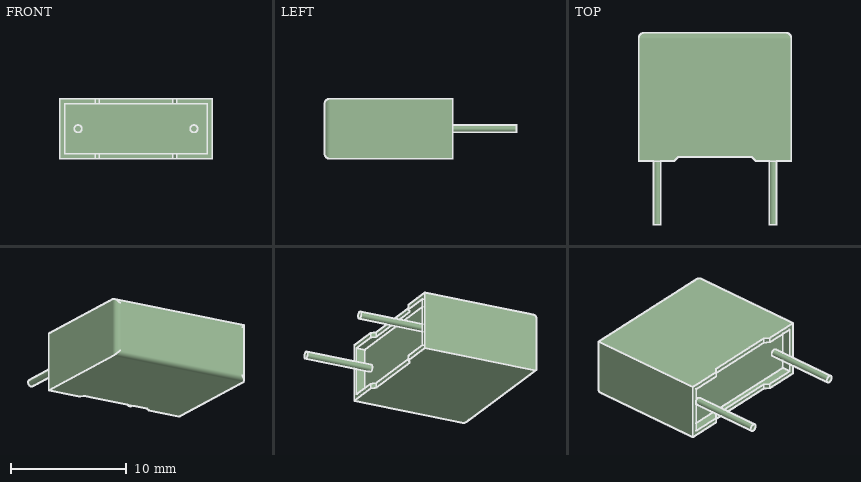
import cadquery as cq


case_width = 13.2
case_height = 5.21
wall = 0.45
back_round = 0.51

total_length = 16.6
lead_length = 5.51
lead_diameter = 0.65
lead_pitch = 10.0

case_depth = total_length - lead_length

fill_recess = 0.8
cavity_width = case_width - 2 * wall
cavity_height = case_height - 2 * wall
cavity_depth = case_depth - wall

relief_depth = 0.35
relief_mouth_width = 7.0
relief_floor_width = relief_mouth_width - 2 * relief_depth


def block(width, height, y_start, y_end):
    """Box centred on the Y axis, running from y_start to y_end."""
    return (
        cq.Workplane("XY")
        .box(width, y_end - y_start, height, centered=(True, False, True))
        .translate((0, y_start, 0))
    )


def make_rim_relief():
    """Trapezoid prism that cuts through both broad walls."""
    return (
        cq.Workplane("XY")
        .polyline([
            (-relief_mouth_width / 2, 0),
            (-relief_floor_width / 2, relief_depth),
            (relief_floor_width / 2, relief_depth),
            (relief_mouth_width / 2, 0),
        ])
        .close()
        .extrude(case_height / 2, both=True)
    )


def make_case():
    """Open shell with rounded back edges and a relieved rim."""
    shell = block(case_width, case_height, 0, case_depth)
    shell = shell.faces(">Y").edges().fillet(back_round)
    cavity = block(cavity_width, cavity_height, 0, cavity_depth)
    return shell.cut(cavity).cut(make_rim_relief())


def make_resin_fill():
    """Resin block filling the cavity up to the recessed face."""
    return block(cavity_width, cavity_height, fill_recess, cavity_depth)


def make_lead(x):
    """Round lead standing on the resin face and pointing toward -Y."""
    return (
        cq.Workplane("XZ", origin=(x, fill_recess, 0))
        .circle(lead_diameter / 2)
        .extrude(fill_recess + lead_length)
    )


case = make_case()
resin_fill = make_resin_fill()
leads = [make_lead(side * lead_pitch / 2) for side in (-1, 1)]

result = cq.Compound.makeCompound([
    case.val(),
    resin_fill.val(),
    *[lead.val() for lead in leads],
])